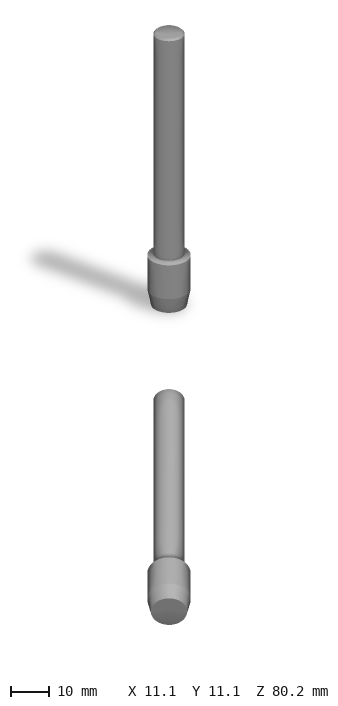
import cadquery as cq

total_height = 80.2
rod_radius = 4.0
rod_chamfer = 0.5

head_radius = 5.57
head_tip_radius = 4.65
tip_height = 4.6
head_height = 15.0
shoulder_height = 0.5


def make_rod():
    """Plain round rod on top of the head, with a chamfer around its top end."""
    rod = (
        cq.Workplane("XY", origin=(0, 0, head_height))
        .circle(rod_radius)
        .extrude(total_height - head_height)
    )
    return rod.faces(">Z").chamfer(rod_chamfer)


def make_head():
    """Round head with a tapered lower end, a straight wall and a sloping shoulder."""
    return (
        cq.Workplane("XZ")
        .lineTo(head_tip_radius, 0)
        .lineTo(head_radius, tip_height)
        .lineTo(head_radius, head_height - shoulder_height)
        .lineTo(rod_radius, head_height)
        .lineTo(0, head_height)
        .close()
        .revolve(360, (0, 0, 0), (0, 1, 0))
    )


rod = make_rod()
head = make_head()

result = cq.Compound.makeCompound([rod.val(), head.val()])